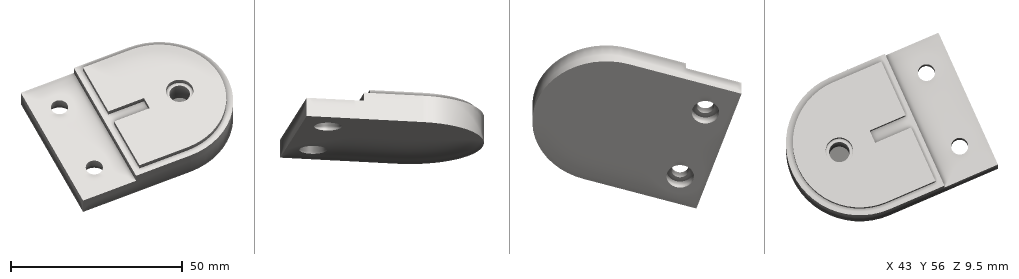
import cadquery as cq

WIDTH = 43.0
LENGTH = 56
FLANGE_LENGTH = 17.0
FLANGE_HEIGHT = 5.55
PAD_HEIGHT = 8.0

PLATE_THICKNESS = 1.5
PLATE_MARGIN = 2.0
SLOT_WIDTH = 4.0
SLOT_LENGTH = 11.4

OPENING_DIAMETER = 8.0
BLIND_HOLE_DIAMETER = 6.0
BLIND_HOLE_DEPTH = 6.0

SCREW_DIAMETER = 5.0
SCREW_SPACING = 24.0
SCREW_EDGE_DISTANCE = 8.0
RECESS_DIAMETER = 8.0
RECESS_DEPTH = 3.0

ARC_CENTER_Y = LENGTH - WIDTH / 2
HOLE_CENTER_Y = 41.0
PLATE_START_Y = FLANGE_LENGTH + PLATE_MARGIN
PLATE_WIDTH = WIDTH - 2 * PLATE_MARGIN


def round_ended_block(width, start_y, bottom_z, height):
    """Block with a straight -Y end at start_y and a half-round +Y end."""
    radius = width / 2
    return (
        cq.Workplane("XY", origin=(0, 0, bottom_z))
        .moveTo(-radius, start_y)
        .lineTo(radius, start_y)
        .lineTo(radius, ARC_CENTER_Y)
        .threePointArc((0, ARC_CENTER_Y + radius), (-radius, ARC_CENTER_Y))
        .close()
        .extrude(height)
    )


def vertical_cylinder(x, y, bottom_z, diameter, height):
    return cq.Workplane("XY", origin=(x, y, bottom_z)).circle(diameter / 2).extrude(height)


def make_base():
    pad = round_ended_block(WIDTH, FLANGE_LENGTH, 0, PAD_HEIGHT)
    flange = cq.Workplane("XY").box(WIDTH, FLANGE_LENGTH, FLANGE_HEIGHT, centered=(True, False, False))
    base = pad.union(flange)

    hole_floor_z = PAD_HEIGHT - BLIND_HOLE_DEPTH
    base = base.cut(
        vertical_cylinder(0, HOLE_CENTER_Y, hole_floor_z, BLIND_HOLE_DIAMETER, BLIND_HOLE_DEPTH)
    )

    for x in (-SCREW_SPACING / 2, SCREW_SPACING / 2):
        base = base.cut(vertical_cylinder(x, SCREW_EDGE_DISTANCE, 0, SCREW_DIAMETER, FLANGE_HEIGHT))
        base = base.cut(vertical_cylinder(x, SCREW_EDGE_DISTANCE, 0, RECESS_DIAMETER, RECESS_DEPTH))
    return base


def make_cover_plate():
    plate = round_ended_block(PLATE_WIDTH, PLATE_START_Y, PAD_HEIGHT, PLATE_THICKNESS)

    slot = cq.Workplane("XY", origin=(0, PLATE_START_Y, PAD_HEIGHT)).box(
        SLOT_WIDTH, SLOT_LENGTH, PLATE_THICKNESS, centered=(True, False, False)
    )
    opening = vertical_cylinder(0, HOLE_CENTER_Y, PAD_HEIGHT, OPENING_DIAMETER, PLATE_THICKNESS)
    return plate.cut(slot).cut(opening)


base = make_base()
cover_plate = make_cover_plate()

result = cq.Compound.makeCompound([base.val(), cover_plate.val()])